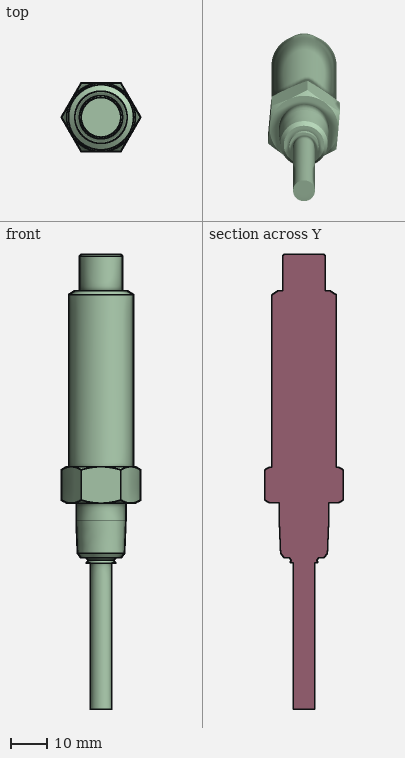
import cadquery as cq
import math

total_height = 125.7
cap_height = 10.0
hex_top = 67.0
hex_height = 10.0
shank_height = 4.8
taper_height = 9.0
nose_height = 1.3
collar_height = 1.5

cap_diameter = 12.0
body_diameter = 18.0
hex_across_flats = 19.0
shank_diameter = 13.8
taper_end_diameter = 13.1
nose_diameter = 11.2
collar_diameter = 8.2
rod_diameter = 6.0

collar_groove_depth = 0.5

cap_chamfer = 0.5
body_chamfer_height = 1.1
body_chamfer_width = 1.8
hex_chamfer_angle = 30.0

body_top = total_height - cap_height
hex_bottom = hex_top - hex_height
taper_top = hex_bottom - shank_height
taper_bottom = taper_top - taper_height
nose_bottom = taper_bottom - nose_height
collar_bottom = nose_bottom - collar_height
collar_middle = nose_bottom - collar_height / 2


def revolve_about_z(outline):
    """Turn a closed (radius, height) outline about the Z axis."""
    return cq.Workplane("XZ").polyline(outline).close().revolve(360, (0, 0), (0, 1))


def make_turned_probe():
    """Rod, grooved collar, tapered connection, body and cap as one turned shape."""
    cap_radius = cap_diameter / 2
    body_radius = body_diameter / 2
    outline = [
        (0, 0),
        (rod_diameter / 2, 0),
        (rod_diameter / 2, collar_bottom),
        (collar_diameter / 2, collar_bottom),
        (collar_diameter / 2 - collar_groove_depth, collar_middle),
        (collar_diameter / 2, nose_bottom),
        (nose_diameter / 2, nose_bottom),
        (taper_end_diameter / 2, taper_bottom),
        (shank_diameter / 2, taper_top),
        (shank_diameter / 2, hex_bottom),
        (body_radius, hex_bottom),
        (body_radius, body_top - body_chamfer_height),
        (body_radius - body_chamfer_width, body_top),
        (cap_radius, body_top),
        (cap_radius, total_height - cap_chamfer),
        (cap_radius - cap_chamfer, total_height),
        (0, total_height),
    ]
    return revolve_about_z(outline)


def make_hexagon():
    """Hexagon with corners along X, its corners turned off at both ends."""
    corner_radius = hex_across_flats / math.sqrt(3)
    face_radius = hex_across_flats / 2
    chamfer_height = (corner_radius - face_radius) * math.tan(math.radians(hex_chamfer_angle))
    prism = (
        cq.Workplane("XY", origin=(0, 0, hex_bottom))
        .polygon(6, 2 * corner_radius)
        .extrude(hex_height)
    )
    envelope = revolve_about_z([
        (0, hex_bottom),
        (face_radius, hex_bottom),
        (corner_radius, hex_bottom + chamfer_height),
        (corner_radius, hex_top - chamfer_height),
        (face_radius, hex_top),
        (0, hex_top),
    ])
    return prism.intersect(envelope)


result = make_turned_probe().union(make_hexagon())